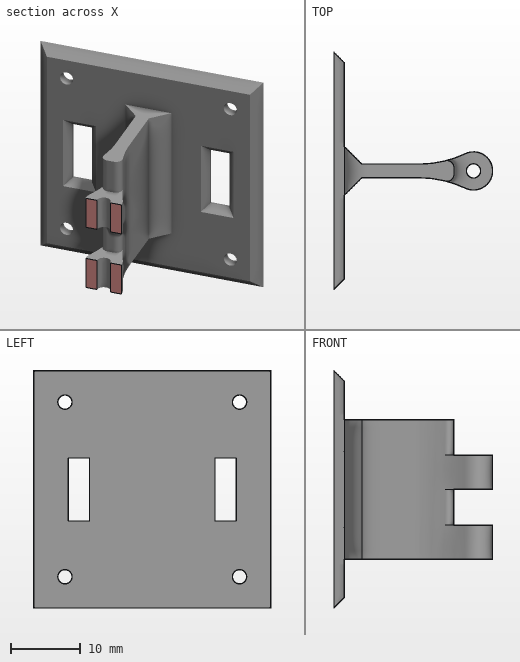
import cadquery as cq
import math

plate_size = 34.0
plate_thickness = 1.5
screw_hole_diameter = 2.0
screw_spacing = 25.0
slot_width = 3.0
slot_height = 9.0
slot_spacing = 21.0
slot_lip = 0.5

arm_height = 20.0
arm_half_thickness = 1.0
gusset_leg = 2.5
arm_end_fillet = 1.0

knuckle_radius = 2.75
pin_hole_diameter = 2.0
pin_x = 20.0
flare_radius = 15.0
knuckle_count = 2
knuckle_pitch = arm_height / knuckle_count
knuckle_gap_allowance = 0.1
knuckle_height = knuckle_pitch / 2 - knuckle_gap_allowance

flare_center_y = arm_half_thickness + flare_radius
center_distance = flare_radius + knuckle_radius
flare_length = math.sqrt(center_distance**2 - flare_center_y**2)
flare_start_x = pin_x - flare_length
knuckle_fraction = knuckle_radius / center_distance
flare_end_x = pin_x - flare_length * knuckle_fraction
flare_end_y = flare_center_y * knuckle_fraction

knuckle_clearance = 0.05
arm_end_x = pin_x - knuckle_radius - knuckle_clearance
arm_bottom_z = -arm_height / 2


def flare_mid_point():
    """Point halfway along the flare arc on the +Y side."""
    half_angle = math.asin(flare_length / center_distance) / 2
    x = flare_start_x + flare_radius * math.sin(half_angle)
    y = flare_center_y - flare_radius * math.cos(half_angle)
    return x, y


def make_slot(center_y):
    """Cutter for a slot: a straight lip, then walls flaring at 45 degrees."""
    flare_depth = plate_thickness - slot_lip
    straight = (
        cq.Workplane("YZ")
        .center(center_y, 0)
        .rect(slot_width, slot_height)
        .extrude(slot_lip)
    )
    flared = (
        cq.Workplane("YZ", origin=(slot_lip, center_y, 0))
        .rect(slot_width, slot_height)
        .workplane(offset=flare_depth)
        .rect(slot_width + 2 * flare_depth, slot_height + 2 * flare_depth)
        .loft(ruled=True)
    )
    return straight.union(flared)


def make_plate():
    """Bevelled plate with four screw holes and two upright slots."""
    front_size = plate_size - 2 * plate_thickness
    plate = (
        cq.Workplane("YZ")
        .rect(plate_size, plate_size)
        .workplane(offset=plate_thickness)
        .rect(front_size, front_size)
        .loft(ruled=True)
    )
    screw_holes = (
        cq.Workplane("YZ")
        .rect(screw_spacing, screw_spacing, forConstruction=True)
        .vertices()
        .circle(screw_hole_diameter / 2)
        .extrude(plate_thickness)
    )
    plate = plate.cut(screw_holes)
    for side in (-1, 1):
        plate = plate.cut(make_slot(side * slot_spacing / 2))
    return plate


def make_profile(bottom_z, height):
    """Arm outline from plate to knuckle, extruded upwards from bottom_z."""
    root_half_width = arm_half_thickness + gusset_leg
    gusset_end_x = plate_thickness + gusset_leg
    mid_x, mid_y = flare_mid_point()
    return (
        cq.Workplane("XY", origin=(0, 0, bottom_z))
        .moveTo(plate_thickness, -root_half_width)
        .lineTo(gusset_end_x, -arm_half_thickness)
        .lineTo(flare_start_x, -arm_half_thickness)
        .threePointArc((mid_x, -mid_y), (flare_end_x, -flare_end_y))
        .threePointArc((pin_x + knuckle_radius, 0), (flare_end_x, flare_end_y))
        .threePointArc((mid_x, mid_y), (flare_start_x, arm_half_thickness))
        .lineTo(gusset_end_x, arm_half_thickness)
        .lineTo(plate_thickness, root_half_width)
        .close()
        .extrude(height)
    )


def make_arm():
    """Full-height arm, cut short of the pin and rounded at its end."""
    trim = cq.Workplane("XY").box(
        arm_end_x, plate_size, arm_height, centered=(False, True, True)
    )
    arm = make_profile(arm_bottom_z, arm_height).intersect(trim)
    return arm.faces(">X").edges("|Z").fillet(arm_end_fillet)


def make_pin_hole():
    """Cutter for the hinge pin, running through every knuckle."""
    return (
        cq.Workplane("XY", origin=(pin_x, 0, arm_bottom_z))
        .circle(pin_hole_diameter / 2)
        .extrude(arm_height)
    )


result = make_plate().union(make_arm())
for index in range(knuckle_count):
    knuckle_bottom_z = arm_bottom_z + index * knuckle_pitch
    result = result.union(make_profile(knuckle_bottom_z, knuckle_height))
result = result.cut(make_pin_hole())